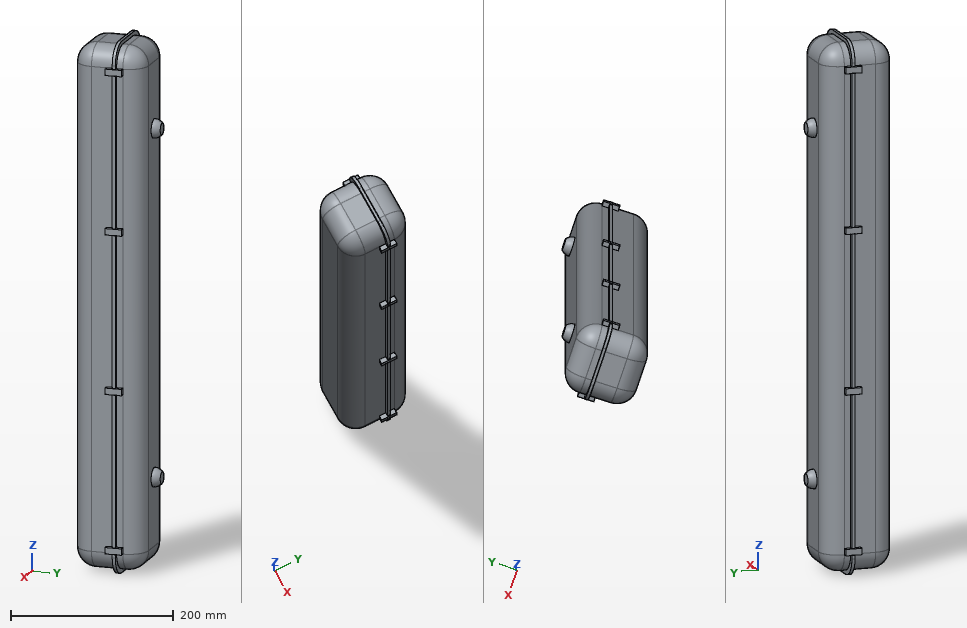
import cadquery as cq
import math

overall_width = 102.0
overall_length = 680.0
clip_overhang = 6.0
rim_overhang = 5.0
shell_depth = 91.0
edge_radius = 25.0
shell_width = overall_width - 2 * clip_overhang
shell_length = overall_length - 2 * rim_overhang

rim_thickness = 4.0
rim_setback = 35.5
rear_y = rim_setback
front_y = rear_y - shell_depth
split_y = -rim_thickness / 2

clip_count = 4
clip_height = 8.0
clip_depth = 21.0
clip_rear_y = rear_y - edge_radius
clip_middle_y = clip_rear_y - clip_depth / 2
clip_span = shell_length - 2 * edge_radius - clip_height

knob_base_diameter = 24.5
knob_tip_diameter = 15.0
knob_height = 10.0
knob_spacing = 446.0
knob_pair_x = -2.0
knob_pair_z = 1.5


def rounded_shell():
    """Full lamp envelope: a long box with every edge rounded alike."""
    return (
        cq.Workplane("XY")
        .box(shell_width, shell_depth, shell_length)
        .edges()
        .fillet(edge_radius)
        .translate((0, (front_y + rear_y) / 2, 0))
    )


def slab(near_y, far_y):
    """Block wider and longer than the lamp, between two Y stations."""
    return (
        cq.Workplane("XY")
        .box(2 * overall_width, far_y - near_y, 2 * overall_length)
        .translate((0, (near_y + far_y) / 2, 0))
    )


def rim():
    """Flat flange following the shell outline."""
    return (
        cq.Workplane("XY")
        .box(shell_width + 2 * rim_overhang, rim_thickness, overall_length)
        .edges("|Y")
        .fillet(edge_radius)
    )


def clips():
    """Clips standing out a little past the rim, evenly spaced on both sides."""
    clip_pitch = clip_span / (clip_count - 1)
    centres = [
        (side * (overall_width - clip_overhang) / 2, clip_middle_y, -clip_span / 2 + index * clip_pitch)
        for side in (-1, 1)
        for index in range(clip_count)
    ]
    return cq.Workplane("XY").pushPoints(centres).box(clip_overhang, clip_depth, clip_height)


def knob(height_z):
    """Round knob on the rear face; its bulging flank narrows to a flat tip."""
    base_radius = knob_base_diameter / 2
    tip_radius = knob_tip_diameter / 2
    taper = base_radius - tip_radius
    arc_radius = (knob_height**2 + taper**2) / (2 * taper)
    flank_radius = base_radius - arc_radius + math.sqrt(arc_radius**2 - (knob_height / 2)**2)
    return (
        cq.Workplane("YZ", origin=(knob_pair_x, rear_y, height_z))
        .moveTo(0, base_radius)
        .threePointArc((knob_height / 2, flank_radius), (knob_height, tip_radius))
        .lineTo(knob_height, 0)
        .lineTo(0, 0)
        .close()
        .revolve(360, (0, 0), (1, 0))
    )


def make_cover():
    """Front body, cut off flat where it meets the rim."""
    return rounded_shell().intersect(slab(front_y, split_y))


def make_base():
    """Rear body with the rim, the clips and the knobs."""
    rear_shell = rounded_shell().intersect(slab(split_y, rear_y))
    base_body = rear_shell.union(rim()).union(clips())
    for direction in (-1, 1):
        base_body = base_body.union(knob(knob_pair_z + direction * knob_spacing / 2))
    return base_body


cover = make_cover()
base = make_base()

result = cq.Compound.makeCompound([cover.solids().val(), base.solids().val()])